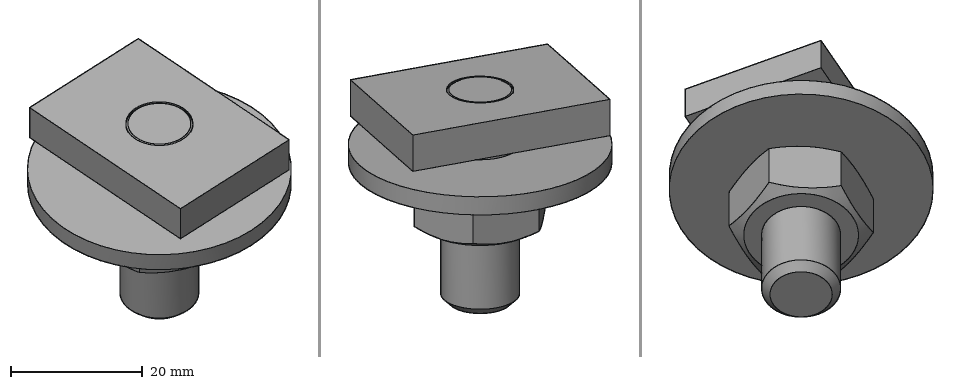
import cadquery as cq
import math

plate_length = 32.8
plate_width = 23.0
plate_thickness = 6.0
plate_gap = 3.0

washer_diameter = 40.0
washer_thickness = 3.0

nut_height = 10.0
nut_across_flats = 19.0
nut_across_corners = nut_across_flats / math.cos(math.radians(30))
nut_face_diameter = 17.4
nut_chamfer_angle = 30.0

stud_diameter = 12.0
stud_projection = 13.0
stud_chamfer = 1.3

mark_outer_diameter = 10.15
mark_inner_diameter = 9.5
mark_depth = 0.3

nut_bottom = stud_projection
washer_bottom = nut_bottom + nut_height
washer_top = washer_bottom + washer_thickness
plate_bottom = washer_top + plate_gap
plate_top = plate_bottom + plate_thickness


def disc(diameter, bottom, height):
    return cq.Workplane("XY").workplane(offset=bottom).circle(diameter / 2).extrude(height)


def make_plate():
    plate = (
        cq.Workplane("XY")
        .workplane(offset=plate_bottom)
        .rect(plate_length, plate_width)
        .extrude(plate_thickness)
    )
    ring = (
        cq.Workplane("XZ")
        .moveTo(mark_inner_diameter / 2, plate_top)
        .lineTo(mark_outer_diameter / 2, plate_top)
        .lineTo(mark_outer_diameter / 2, plate_top - mark_depth)
        .close()
        .revolve(360, (0, 0, 0), (0, 1, 0))
    )
    return plate.cut(ring)


def make_nut():
    """Hexagon with corners on the X axis, trimmed by a cone at both ends."""
    hexagon = (
        cq.Workplane("XY")
        .workplane(offset=nut_bottom)
        .polygon(6, nut_across_corners)
        .extrude(nut_height)
    )
    face_radius = nut_face_diameter / 2
    corner_radius = nut_across_corners / 2
    chamfer_height = (corner_radius - face_radius) * math.tan(math.radians(nut_chamfer_angle))
    trimmed_body = (
        cq.Workplane("XZ")
        .moveTo(0, nut_bottom)
        .lineTo(face_radius, nut_bottom)
        .lineTo(corner_radius, nut_bottom + chamfer_height)
        .lineTo(corner_radius, washer_bottom - chamfer_height)
        .lineTo(face_radius, washer_bottom)
        .lineTo(0, washer_bottom)
        .close()
        .revolve(360, (0, 0, 0), (0, 1, 0))
    )
    return hexagon.intersect(trimmed_body)


stud = disc(stud_diameter, 0, plate_bottom).faces("<Z").chamfer(stud_chamfer)
washer = disc(washer_diameter, washer_bottom, washer_thickness)

result = stud.union(make_nut()).union(washer).union(make_plate())